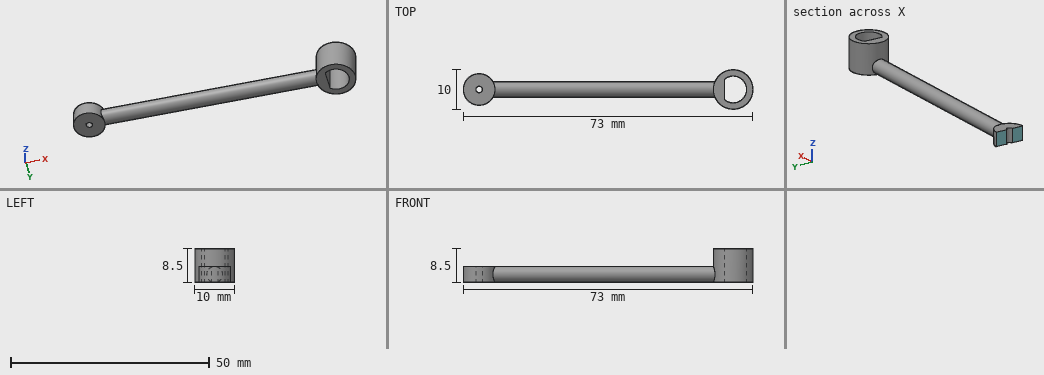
import cadquery as cq

center_distance = 64.0
eye_diameter = 8.0
pin_hole_diameter = 1.57
rod_diameter = 4.0
hub_diameter = 10.0
hub_height = 8.5
bore_diameter = 6.7
bore_across_flat = 5.5

eye_thickness = rod_diameter
rod_axis_height = rod_diameter / 2


def cylinder(x, diameter, height):
    """Upright cylinder standing on the base plane at position x."""
    return cq.Workplane("XY").center(x, 0).circle(diameter / 2).extrude(height)


def make_rod():
    """Round rod running from the eye axis to the hub axis."""
    return (
        cq.Workplane("YZ")
        .center(0, rod_axis_height)
        .circle(rod_diameter / 2)
        .extrude(center_distance)
    )


def make_d_bore():
    """D-shaped through bore of the hub, with its flat facing the eye."""
    round_bore = cylinder(center_distance, bore_diameter, hub_height)
    far_side = center_distance + bore_diameter / 2
    kept_side = (
        cq.Workplane("XY")
        .center(far_side - bore_across_flat / 2, 0)
        .rect(bore_across_flat, bore_diameter)
        .extrude(hub_height)
    )
    return round_bore.intersect(kept_side)


eye = cylinder(0, eye_diameter, eye_thickness)
pin_hole = cylinder(0, pin_hole_diameter, eye_thickness)
hub = cylinder(center_distance, hub_diameter, hub_height)

result = eye.union(make_rod()).union(hub).cut(pin_hole).cut(make_d_bore())